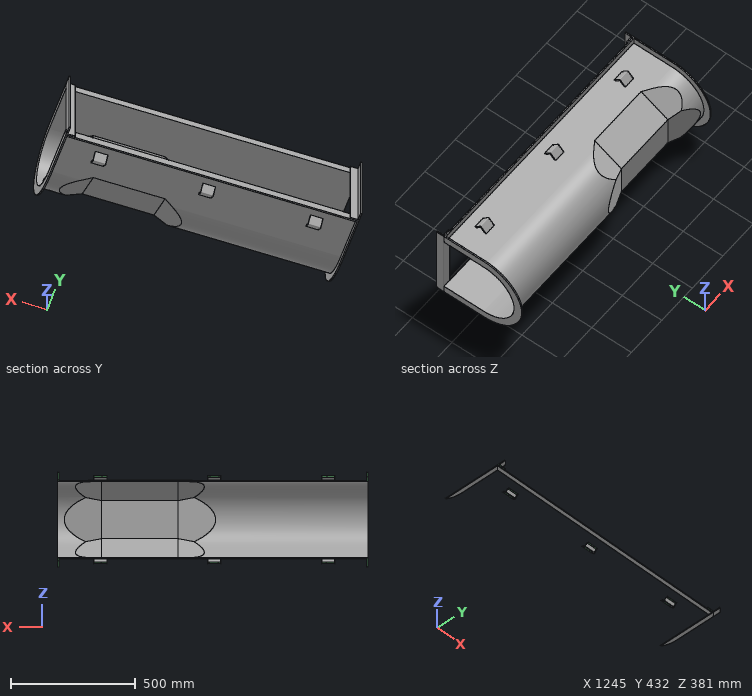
import cadquery as cq
import math

length = 1245.0
depth = 432.0
height = 381.0

sheet = 6.3
flange_width = 39.0
angle_bend = 3.2

flange_radius = height / 2
inner_radius = flange_radius - flange_width
outer_radius = inner_radius + sheet
angle_back = depth - flange_radius
open_edge = angle_back - flange_width

dent_start = 762.0
dent_length = 305.0
dent_front = 108.0
dent_side_edge = 27.0
dent_side_tilt = 30.0
ramp_run_per_rise = 3.0

wedge_reach = 125.0
wedge_span = 498.0

clip_length = 54.0
clip_half_width = 29.0
clip_first_x = 159.0
clip_pitch = 457.0
clip_count = 3
clip_y = 120.0


def u_solid(radius, start, end):
    """Solid with the U outline of the given radius, from x = start to x = end."""
    return (
        cq.Workplane("YZ", origin=(start, 0, 0))
        .moveTo(open_edge, radius)
        .lineTo(0, radius)
        .threePointArc((-radius, 0), (0, -radius))
        .lineTo(open_edge, -radius)
        .close()
        .extrude(end - start)
    )


def dent_wedge(front, inset):
    """Trapezoid prism outside y = -front, moved inward by inset square to all its faces."""
    slant = math.hypot(1, ramp_run_per_rise)
    flat_shift = inset * (slant - ramp_run_per_rise)
    flat_start = dent_start - flat_shift
    flat_end = dent_start + dent_length + flat_shift
    flat_y = inset - front
    ramp_run = wedge_reach * ramp_run_per_rise
    return (
        cq.Workplane("XY", origin=(0, 0, -wedge_span / 2))
        .moveTo(flat_start, flat_y)
        .lineTo(flat_end, flat_y)
        .lineTo(flat_end + ramp_run, flat_y - wedge_reach)
        .lineTo(flat_start - ramp_run, flat_y - wedge_reach)
        .close()
        .extrude(wedge_span)
    )


def dent_cutter(inset):
    """Everything outside the dent surface: one wedge in front and one on each side."""
    tilt = math.radians(dent_side_tilt)
    side_distance = outer_radius * math.cos(tilt) - dent_side_edge * math.sin(tilt)
    cutter = dent_wedge(dent_front, inset)
    for turn in (dent_side_tilt - 90, 90 - dent_side_tilt):
        side = dent_wedge(side_distance, inset).rotate((0, 0, 0), (1, 0, 0), turn)
        cutter = cutter.union(side)
    return cutter


def make_trough():
    """Dented sheet trough with outward flanges along its ends and its open edges."""
    trough = u_solid(outer_radius, 0, length).cut(dent_cutter(0))
    cavity = u_solid(inner_radius, 0, length).cut(dent_cutter(sheet))
    for start in (0, length - sheet):
        trough = trough.union(u_solid(flange_radius, start, start + sheet))
    for side in (-1, 1):
        flange_z = side * (inner_radius + flange_width / 2)
        edge_flange = cq.Workplane("XY").box(length, sheet, flange_width)
        edge_flange = edge_flange.translate((length / 2, open_edge - sheet / 2, flange_z))
        trough = trough.union(edge_flange)
    return trough.cut(cavity)


def make_end_angle():
    """Upright angle section across the open side at the x = 0 end."""
    outer_corner = cq.selectors.NearestToPointSelector((0, open_edge, 0))
    return (
        cq.Workplane("XY", origin=(0, 0, -height / 2))
        .moveTo(0, open_edge)
        .lineTo(flange_width, open_edge)
        .lineTo(flange_width, open_edge + sheet)
        .lineTo(sheet, open_edge + sheet)
        .lineTo(sheet, angle_back)
        .lineTo(0, angle_back)
        .close()
        .extrude(height)
        .edges(outer_corner)
        .fillet(angle_bend)
    )


def make_clip(center_x):
    """Angle section on the +Z wall, ridge along X, with its legs cut flush with the wall."""
    inner_half_width = clip_half_width - sheet * math.sqrt(2)
    return (
        cq.Workplane("YZ", origin=(center_x - clip_length / 2, clip_y, outer_radius))
        .moveTo(-clip_half_width, 0)
        .lineTo(0, clip_half_width)
        .lineTo(clip_half_width, 0)
        .lineTo(inner_half_width, 0)
        .lineTo(0, inner_half_width)
        .lineTo(-inner_half_width, 0)
        .close()
        .extrude(clip_length)
        .edges(">Z")
        .fillet(angle_bend)
    )


trough = make_trough()

left_angle = make_end_angle()
right_angle = left_angle.mirror("YZ").translate((length, 0, 0))

clips = []
for index in range(clip_count):
    top_clip = make_clip(clip_first_x + index * clip_pitch)
    clips.append(top_clip.val())
    clips.append(top_clip.mirror("XY").val())

result = cq.Compound.makeCompound(
    [trough.val(), left_angle.val(), right_angle.val(), *clips]
)